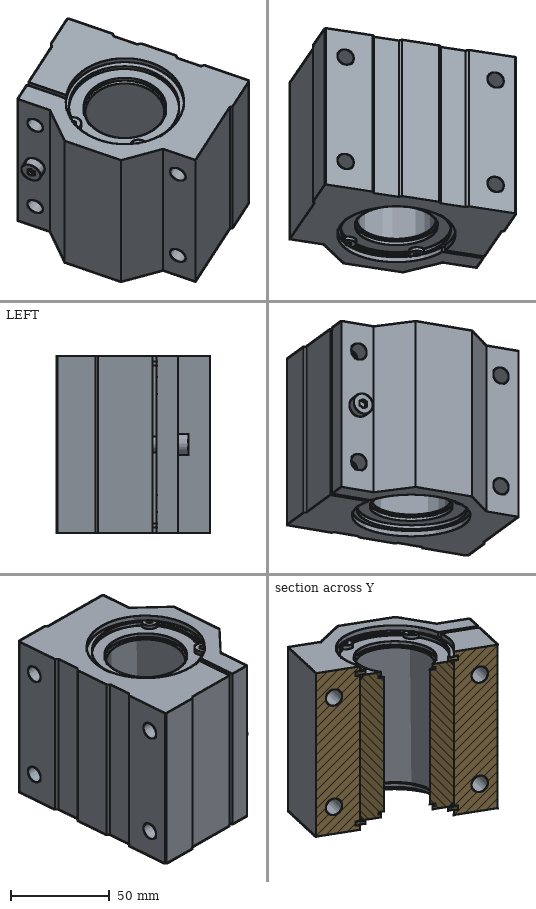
import cadquery as cq
import math

length = 90.0
half_width = 51.0
back_y = 40.0
front_y = -38.0
back_edge_chamfer = 0.6

step_y = 20.1
step_size = 1.1
waist_half_width = half_width - step_size
flange_y = -21.8
nose_half_width = 15.8
nose_root_half_width = 31.7

groove_inner_x = 9.9
groove_outer_x = 25.7
groove_depth = 1.3

hole_diameter = 8.7
hole_x = 40.0
hole_z = 30.0

bearing_diameter = 60.0
bearing_length = 80.0
bearing_bore = 40.0
end_face_diameter = 57.0
end_chamfer_length = 2.0
mouth_diameter = 42.0
mouth_depth = 2.0
undercut_diameter = 44.0
undercut_width = 1.0

ring_thickness = 2.0
ring_recess = 2.9
ring_outer_diameter = 64.2
ring_inner_diameter = 55.9
ring_inner_y = -0.9
lug_x = 18.4
lug_y = -22.6
lug_diameter = 8.4
lug_hole_diameter = 3.0
upper_ring_z = length / 2 - ring_recess - ring_thickness
lower_ring_z = -length / 2 + ring_recess
ring_levels = (lower_ring_z, upper_ring_z)

slit_back_y = -8.9
slit_width = 2.0
slit_wall_diameter = ring_outer_diameter

screw_x = -hole_x
shank_diameter = 8.0
head_diameter = 10.7
head_height = 5.1
head_y = flange_y - head_height
socket_width = 4.1
socket_depth = 2.0


def z_cylinder(diameter, bottom, height, points=((0, 0),)):
    """Upright cylinders standing on the level `bottom`, one at each (x, y) point."""
    base = cq.Workplane("XY").workplane(offset=bottom)
    return base.pushPoints(points).circle(diameter / 2).extrude(height)


def y_cylinder(diameter, x, z, back, front):
    """Cylinder along Y between the planes y = back and y = front."""
    return cq.Workplane("XZ", origin=(x, back, z)).circle(diameter / 2).extrude(back - front)


def make_block():
    right_side = [
        (groove_inner_x, back_y),
        (groove_inner_x + groove_depth, back_y - groove_depth),
        (groove_outer_x - groove_depth, back_y - groove_depth),
        (groove_outer_x, back_y),
        (half_width - back_edge_chamfer, back_y),
        (half_width, back_y - back_edge_chamfer),
        (half_width, step_y),
        (waist_half_width, step_y - step_size),
        (waist_half_width, flange_y),
        (nose_root_half_width, flange_y),
        (nose_half_width, front_y),
    ]
    left_side = [(-x, y) for x, y in reversed(right_side)]
    base = cq.Workplane("XY").workplane(offset=-length / 2)
    return base.polyline(right_side + left_side).close().extrude(length)


def make_slit():
    slit = (
        cq.Workplane("XY")
        .box(half_width, slit_width, length, centered=(False, False, True))
        .translate((-half_width, slit_back_y - slit_width, 0))
    )
    return slit.cut(z_cylinder(slit_wall_diameter, -bearing_length / 2, bearing_length))


def make_screw_socket():
    floor = cq.Workplane("XZ", origin=(screw_x, head_y + socket_depth, 0)).transformed(rotate=(0, 0, 90))
    across_corners = socket_width / math.cos(math.pi / 6)
    return floor.polygon(6, across_corners).extrude(socket_depth)


def make_housing():
    housing = make_block()
    housing = housing.cut(make_slit())
    housing = housing.cut(z_cylinder(bearing_diameter, -length / 2, length))
    for level in ring_levels:
        housing = housing.cut(z_cylinder(ring_outer_diameter, level, ring_thickness))
    for x in (-hole_x, hole_x):
        for z in (-hole_z, hole_z):
            housing = housing.cut(y_cylinder(hole_diameter, x, z, back_y, front_y))
    housing = housing.union(y_cylinder(shank_diameter, screw_x, 0, slit_back_y, slit_back_y - slit_width))
    housing = housing.union(y_cylinder(head_diameter, screw_x, 0, flange_y, head_y))
    return housing.cut(make_screw_socket())


def make_bearing():
    """Half section from the bore outward, mirrored in Z and turned about the Z axis."""
    end_z = bearing_length / 2
    mouth_z = end_z - mouth_depth
    ledge_z = mouth_z - undercut_width
    upper_half = [
        (bearing_bore / 2, ledge_z),
        (undercut_diameter / 2, ledge_z),
        (undercut_diameter / 2, mouth_z),
        (mouth_diameter / 2, mouth_z),
        (mouth_diameter / 2, end_z),
        (end_face_diameter / 2, end_z),
        (bearing_diameter / 2, end_z - end_chamfer_length),
    ]
    lower_half = [(r, -z) for r, z in reversed(upper_half)]
    section = cq.Workplane("XZ").polyline(upper_half + lower_half).close()
    return section.revolve(360, (0, 0, 0), (0, 1, 0))


def make_ring(level):
    """Open ring with its bottom face at `level`: the gap faces -Y between two lugs with holes."""
    lug_points = [(-lug_x, lug_y), (lug_x, lug_y)]
    lugs = z_cylinder(lug_diameter, level, ring_thickness, lug_points)
    opening = z_cylinder(ring_inner_diameter, level, ring_thickness, [(0, ring_inner_y)])
    gap_corners = [(0, 0), (-2 * lug_x, 2 * lug_y), (2 * lug_x, 2 * lug_y)]
    gap = cq.Workplane("XY").workplane(offset=level).polyline(gap_corners).close().extrude(ring_thickness)
    ring = z_cylinder(ring_outer_diameter, level, ring_thickness)
    ring = ring.cut(opening.cut(lugs)).cut(gap.cut(lugs))
    return ring.cut(z_cylinder(lug_hole_diameter, level, ring_thickness, lug_points))


housing = make_housing()
bearing = make_bearing()
rings = [make_ring(level) for level in ring_levels]

result = cq.Compound.makeCompound([housing.val(), bearing.val(), *[ring.val() for ring in rings]])